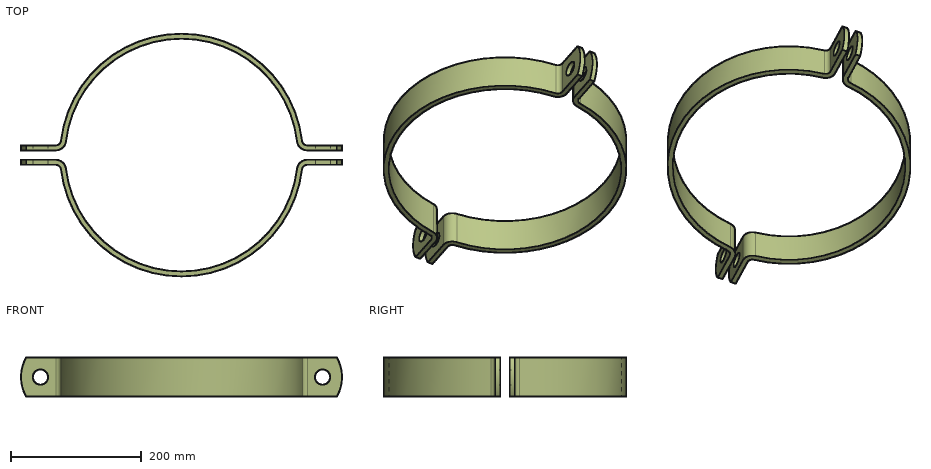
import cadquery as cq
import math

strap_thickness = 8.0
strap_width = 60.0
ring_inner_radius = 178.0
ear_gap = 14.0
bend_inner_radius = 8.0
overall_length = 492.0
ear_tip_radius = 60.0
bolt_hole_diameter = 23.0
bolt_hole_edge_distance = 30.0

ring_outer_radius = ring_inner_radius + strap_thickness
bend_outer_radius = bend_inner_radius + strap_thickness
ear_tip_x = overall_length / 2
bolt_hole_x = ear_tip_x - bolt_hole_edge_distance
ear_inner_y = ear_gap / 2
ear_outer_y = ear_inner_y + strap_thickness

bend_center_y = ear_outer_y + bend_inner_radius
bend_center_distance = ring_outer_radius + bend_inner_radius
bend_center_x = math.sqrt(bend_center_distance**2 - bend_center_y**2)
ring_end_angle = math.atan2(bend_center_y, bend_center_x)

bend_start_angle = -math.pi / 2
bend_end_angle = ring_end_angle - math.pi
bend_mid_angle = (bend_start_angle + bend_end_angle) / 2


def ring_point(radius):
    """Right-hand end of a ring arc, where it runs into the bend."""
    return (radius * math.cos(ring_end_angle), radius * math.sin(ring_end_angle))


def bend_mid_point(radius):
    """Middle of the right-hand bend arc."""
    return (
        bend_center_x + radius * math.cos(bend_mid_angle),
        bend_center_y + radius * math.sin(bend_mid_angle),
    )


def mirrored(point):
    """The same point on the left-hand side."""
    return (-point[0], point[1])


def bent_strap():
    """Half ring with a bend and a square-ended ear on each side, on the +Y side."""
    outer_end = ring_point(ring_outer_radius)
    inner_end = ring_point(ring_inner_radius)
    inner_bend_mid = bend_mid_point(bend_inner_radius)
    outer_bend_mid = bend_mid_point(bend_outer_radius)
    return (
        cq.Workplane("XY")
        .workplane(offset=-strap_width / 2)
        .moveTo(ear_tip_x, ear_outer_y)
        .lineTo(bend_center_x, ear_outer_y)
        .threePointArc(inner_bend_mid, outer_end)
        .threePointArc((0, ring_outer_radius), mirrored(outer_end))
        .threePointArc(mirrored(inner_bend_mid), (-bend_center_x, ear_outer_y))
        .lineTo(-ear_tip_x, ear_outer_y)
        .lineTo(-ear_tip_x, ear_inner_y)
        .lineTo(-bend_center_x, ear_inner_y)
        .threePointArc(mirrored(outer_bend_mid), mirrored(inner_end))
        .threePointArc((0, ring_inner_radius), inner_end)
        .threePointArc(outer_bend_mid, (bend_center_x, ear_inner_y))
        .lineTo(ear_tip_x, ear_inner_y)
        .close()
        .extrude(strap_width)
    )


def side_profile():
    """Block through the full depth in Y, with the rounded ear ends and the bolt holes."""
    half_width = strap_width / 2
    tip_depth = ear_tip_radius - math.sqrt(ear_tip_radius**2 - half_width**2)
    corner_x = ear_tip_x - tip_depth
    depth = 2 * ring_outer_radius
    block = (
        cq.Workplane("XZ")
        .moveTo(-corner_x, -half_width)
        .lineTo(corner_x, -half_width)
        .threePointArc((ear_tip_x, 0), (corner_x, half_width))
        .lineTo(-corner_x, half_width)
        .threePointArc((-ear_tip_x, 0), (-corner_x, -half_width))
        .close()
        .extrude(depth, both=True)
    )
    bolt_holes = (
        cq.Workplane("XZ")
        .pushPoints([(-bolt_hole_x, 0), (bolt_hole_x, 0)])
        .circle(bolt_hole_diameter / 2)
        .extrude(depth, both=True)
    )
    return block.cut(bolt_holes)


def clamp_half(turn):
    """One clamp half, turned about Z by the given angle in degrees."""
    half = bent_strap().intersect(side_profile())
    return half.rotate((0, 0, 0), (0, 0, 1), turn)


clamp_halves = [clamp_half(turn) for turn in (0, 180)]

result = cq.Compound.makeCompound([half.solids().val() for half in clamp_halves])